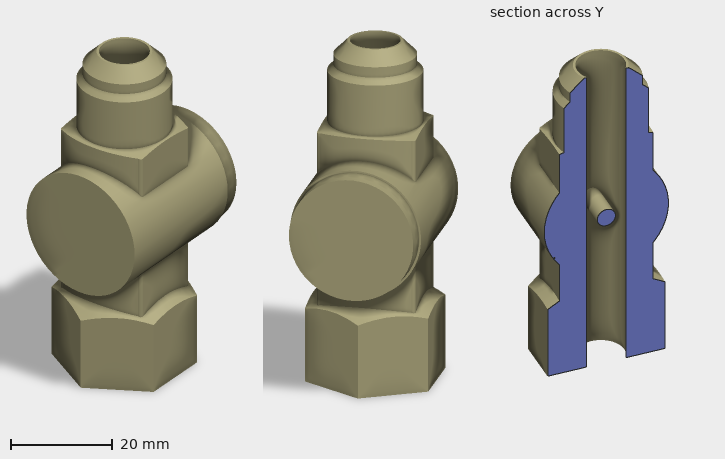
import cadquery as cq
import math

total_height = 70.0
barrel_z = 35.0
bore_diameter = 10.0

barrel_diameter = 26.5
barrel_front_y = -14.5
barrel_length = 30.7
cap_length = 3.8
cap_base_diameter = 25.6
cap_end_diameter = 25.2
stem_diameter = 4.0
stem_anchor = 3.5

hex_sides = 6
hex_across_flats = 25.0
hex_corner_height = 15.25
hex_bevel_angle = 30.0

block_width = 20.0
block_depth = 20.9
block_flat_half_depth = 7.3
block_corner_radius = 0.7
block_top_z = 53.2
block_bevel_angle = 15.0

thread_diameter = 19.0
neck_diameter = 16.5
nose_diameter = 11.0
spigot_chamfer_angle = 45.0
neck_length = 2.2


def cone_height(large_diameter, small_diameter, slope_degrees):
    """Axial length of a cone whose surface rises at the given slope from horizontal."""
    return (large_diameter - small_diameter) / 2 * math.tan(math.radians(slope_degrees))


def bevelled_envelope(outer_diameter, rim_z, top_diameter, slope_degrees):
    """Cylinder from Z = 0 whose upper end is turned down to a shallow cone."""
    top_z = rim_z + cone_height(outer_diameter, top_diameter, slope_degrees)
    return (
        cq.Workplane("XZ")
        .lineTo(outer_diameter / 2, 0)
        .lineTo(outer_diameter / 2, rim_z)
        .lineTo(top_diameter / 2, top_z)
        .lineTo(0, top_z)
        .close()
        .revolve(360, (0, 0), (0, 1))
    )


def make_barrel():
    barrel = (
        cq.Workplane("XZ", origin=(0, barrel_front_y, barrel_z))
        .circle(barrel_diameter / 2)
        .extrude(-barrel_length)
    )
    cap = (
        cq.Workplane("XZ", origin=(0, barrel_front_y + barrel_length, barrel_z))
        .circle(cap_base_diameter / 2)
        .workplane(offset=-cap_length)
        .circle(cap_end_diameter / 2)
        .loft()
    )
    return barrel.union(cap)


def make_nut():
    across_corners = hex_across_flats / math.cos(math.pi / hex_sides)
    blank = (
        cq.Workplane("XY")
        .polygon(hex_sides, across_corners)
        .extrude(block_top_z)
        .rotate((0, 0, 0), (0, 0, 1), 180 / hex_sides)
    )
    return blank.intersect(
        bevelled_envelope(across_corners, hex_corner_height, bore_diameter, hex_bevel_angle)
    )


def make_block():
    flat_x = block_width / 2
    bow_x = flat_x - block_corner_radius
    bow_y = block_flat_half_depth + block_corner_radius
    mid_offset = block_corner_radius * math.sqrt(0.5)
    corner_x = bow_x + mid_offset
    corner_y = block_flat_half_depth + mid_offset
    blank = (
        cq.Workplane("XY")
        .moveTo(flat_x, -block_flat_half_depth)
        .lineTo(flat_x, block_flat_half_depth)
        .threePointArc((corner_x, corner_y), (bow_x, bow_y))
        .threePointArc((0, block_depth / 2), (-bow_x, bow_y))
        .threePointArc((-corner_x, corner_y), (-flat_x, block_flat_half_depth))
        .lineTo(-flat_x, -block_flat_half_depth)
        .threePointArc((-corner_x, -corner_y), (-bow_x, -bow_y))
        .threePointArc((0, -block_depth / 2), (bow_x, -bow_y))
        .threePointArc((corner_x, -corner_y), (flat_x, -block_flat_half_depth))
        .close()
        .extrude(block_top_z)
    )
    corner_diameter = 2 * math.hypot(flat_x, bow_y)
    rim_z = block_top_z - cone_height(corner_diameter, thread_diameter, block_bevel_angle)
    return blank.intersect(
        bevelled_envelope(corner_diameter, rim_z, thread_diameter, block_bevel_angle)
    )


def make_spigot():
    neck_top_z = total_height - cone_height(neck_diameter, nose_diameter, spigot_chamfer_angle)
    neck_bottom_z = neck_top_z - neck_length
    thread_top_z = neck_bottom_z - cone_height(thread_diameter, neck_diameter, spigot_chamfer_angle)
    return (
        cq.Workplane("XZ")
        .moveTo(0, barrel_z)
        .lineTo(thread_diameter / 2, barrel_z)
        .lineTo(thread_diameter / 2, thread_top_z)
        .lineTo(neck_diameter / 2, neck_bottom_z)
        .lineTo(neck_diameter / 2, neck_top_z)
        .lineTo(nose_diameter / 2, total_height)
        .lineTo(0, total_height)
        .close()
        .revolve(360, (0, barrel_z), (0, barrel_z + 0.7))
    )


def make_stem():
    """Valve stem crossing the bore along the barrel axis, anchored in both walls."""
    stem_length = bore_diameter + 2 * stem_anchor
    return (
        cq.Workplane("XZ", origin=(0, -stem_length / 2, barrel_z))
        .circle(stem_diameter / 2)
        .extrude(-stem_length)
    )


bore = cq.Workplane("XY").circle(bore_diameter / 2).extrude(total_height)

result = (
    make_barrel()
    .union(make_nut())
    .union(make_block())
    .union(make_spigot())
    .cut(bore)
    .union(make_stem())
)